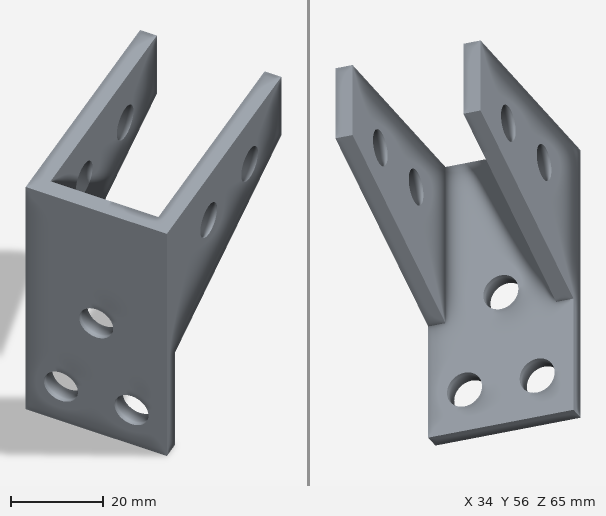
import cadquery as cq

width = 34.0
depth = 56.0
height = 65.0
wall = 4.0

arm_tip_height = 17.0
arm_root_height = 37.95

hole_diameter = 8.2
plate_pair_height = 10.0
plate_pair_spacing = width / 2
plate_single_height = 32.0
arm_hole_drop = 12.75
arm_hole_first = 20.5
arm_hole_spacing = 20.0


def make_channel():
    """U-shaped channel, open at +Y, with the side profile cut to tapered arms."""
    side_profile = [
        (0, 0),
        (wall, 0),
        (wall, height - arm_root_height),
        (depth, height - arm_tip_height),
        (depth, height),
        (0, height),
    ]
    body = cq.Workplane("YZ").polyline(side_profile).close().extrude(width / 2, both=True)
    gap = cq.Workplane("XY").box(width - 2 * wall, depth, height, centered=(True, False, False))
    return body.cut(gap.translate((0, wall, 0)))


def make_plate_holes():
    """Three holes through the front plate, along Y."""
    centers = [
        (-plate_pair_spacing / 2, plate_pair_height),
        (plate_pair_spacing / 2, plate_pair_height),
        (0, plate_single_height),
    ]
    return cq.Workplane("XZ").pushPoints(centers).circle(hole_diameter / 2).extrude(-wall)


def make_arm_holes():
    """Two holes through both arms, along X."""
    hole_height = height - arm_hole_drop
    centers = [(arm_hole_first + i * arm_hole_spacing, hole_height) for i in range(2)]
    return cq.Workplane("YZ").pushPoints(centers).circle(hole_diameter / 2).extrude(width / 2, both=True)


result = make_channel().cut(make_plate_holes()).cut(make_arm_holes())